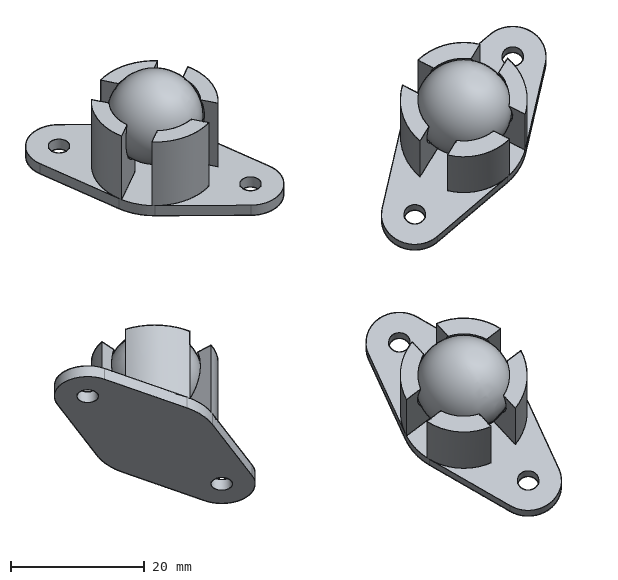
import cadquery as cq
import math

length = 39.95
plate_thickness = 2.0
hub_radius = 9.49
ear_radius = 5.0
ear_offset = length / 2 - ear_radius
hole_diameter = 3.2

total_height = 18.75
cage_height = 14.4
slot_width = 4.7
ball_radius = 7.25
socket_clearance = 0.2
ball_height = total_height - ball_radius


def make_plate():
    """Flange outline: hub and ear arcs joined by their common tangent lines."""
    normal_x = (hub_radius - ear_radius) / ear_offset
    normal_y = math.sqrt(1 - normal_x**2)
    hub_x = hub_radius * normal_x
    hub_y = hub_radius * normal_y
    ear_x = ear_offset + ear_radius * normal_x
    ear_y = ear_radius * normal_y
    return (
        cq.Workplane("XY")
        .moveTo(-hub_x, hub_y)
        .threePointArc((0, hub_radius), (hub_x, hub_y))
        .lineTo(ear_x, ear_y)
        .threePointArc((length / 2, 0), (ear_x, -ear_y))
        .lineTo(hub_x, -hub_y)
        .threePointArc((0, -hub_radius), (-hub_x, -hub_y))
        .lineTo(-ear_x, -ear_y)
        .threePointArc((-length / 2, 0), (-ear_x, ear_y))
        .close()
        .extrude(plate_thickness)
        .faces(">Z")
        .workplane(origin=(0, 0, plate_thickness))
        .pushPoints([(-ear_offset, 0), (ear_offset, 0)])
        .hole(hole_diameter)
    )


def make_sphere(radius):
    """Sphere centred where the ball sits."""
    return cq.Workplane("XY").sphere(radius).translate((0, 0, ball_height))


def make_posts():
    """Cylinder split into four posts by two crossing slots."""
    post_height = cage_height - plate_thickness
    base = cq.Workplane("XY", origin=(0, 0, plate_thickness))
    cylinder = base.circle(hub_radius).extrude(post_height)
    slot_length = 2 * hub_radius
    slot_x = base.rect(slot_length, slot_width).extrude(post_height)
    slot_y = base.rect(slot_width, slot_length).extrude(post_height)
    return cylinder.cut(slot_x).cut(slot_y)


socket = make_sphere(ball_radius + socket_clearance)
housing = make_plate().union(make_posts()).cut(socket)
ball = make_sphere(ball_radius)

result = cq.Compound.makeCompound([housing.val(), ball.val()])